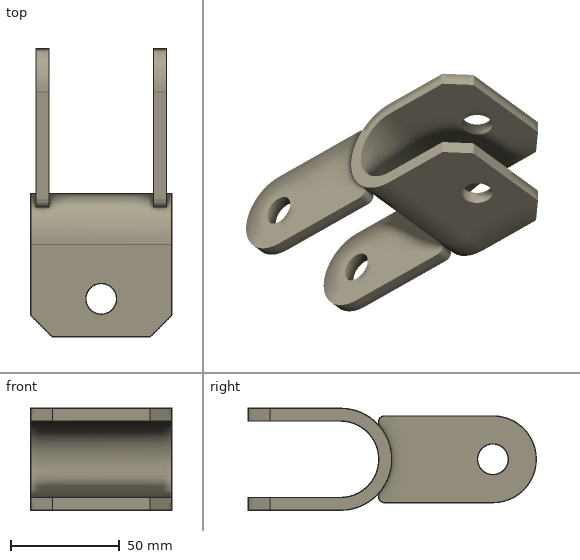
import cadquery as cq
import math


thickness = 6.0
hole_diameter = 14.0

strap_width = 65.0
bend_inner_radius = 17.5
bend_outer_radius = bend_inner_radius + thickness
strap_leg_length = 42.5
strap_hole_y = -25.0
strap_corner_chamfer = 10.0

lug_height = 40.0
lug_end_radius = lug_height / 2
lug_hole_y = 70.0
lug_root_corner_y = math.sqrt(bend_outer_radius**2 - (lug_height / 2) ** 2)
lug_root_fillet = 3.0
lug_gap = 48.0
lug_center_x = (lug_gap + thickness) / 2


def extrude_across(profile, width):
    """Extrude a YZ profile along X, centred on its workplane."""
    return profile.extrude(width / 2, both=True)


def make_strap():
    """Strap bent into a U that opens toward -Y, with a pin hole through both legs."""
    profile = (
        cq.Workplane("YZ")
        .moveTo(-strap_leg_length, bend_outer_radius)
        .lineTo(0, bend_outer_radius)
        .threePointArc((bend_outer_radius, 0), (0, -bend_outer_radius))
        .lineTo(-strap_leg_length, -bend_outer_radius)
        .lineTo(-strap_leg_length, -bend_inner_radius)
        .lineTo(0, -bend_inner_radius)
        .threePointArc((bend_inner_radius, 0), (0, bend_inner_radius))
        .lineTo(-strap_leg_length, bend_inner_radius)
        .close()
    )
    strap = extrude_across(profile, strap_width)
    strap = strap.faces("<Y").edges("|Z").chamfer(strap_corner_chamfer)
    pin_hole = (
        cq.Workplane("XY")
        .center(0, strap_hole_y)
        .circle(hole_diameter / 2)
        .extrude(bend_outer_radius, both=True)
    )
    return strap.cut(pin_hole)


def make_lug(center_x):
    """Round-ended plate with a pin hole, its root coped to seat on the outside of the bend."""
    plane = cq.Workplane("YZ", origin=(center_x, 0, 0))
    profile = (
        plane
        .moveTo(lug_root_corner_y, -lug_height / 2)
        .lineTo(lug_hole_y, -lug_height / 2)
        .threePointArc((lug_hole_y + lug_end_radius, 0), (lug_hole_y, lug_height / 2))
        .lineTo(lug_root_corner_y, lug_height / 2)
        .threePointArc((bend_outer_radius, 0), (lug_root_corner_y, -lug_height / 2))
        .close()
    )
    lug = extrude_across(profile, thickness)
    lug = lug.edges("|X").edges("<Y").fillet(lug_root_fillet)
    pin_hole = extrude_across(plane.center(lug_hole_y, 0).circle(hole_diameter / 2), thickness)
    return lug.cut(pin_hole)


strap = make_strap()
lugs = [make_lug(side * lug_center_x) for side in (-1, 1)]

result = cq.Compound.makeCompound([strap.val(), *[lug.val() for lug in lugs]])